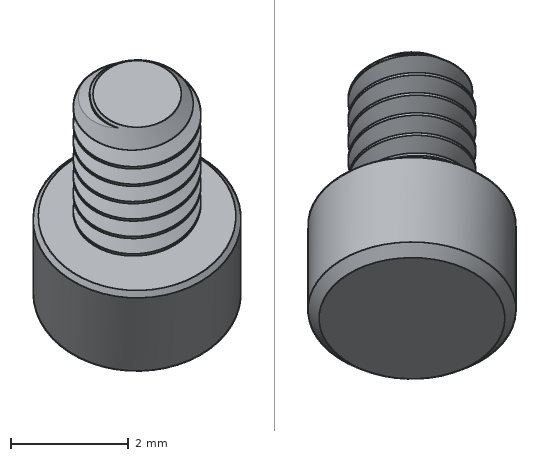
import cadquery as cq
import math

INCH = 25.4

major_diameter = 0.086 * INCH
pitch = INCH / 56
shank_length = INCH / 8
head_diameter = 0.140 * INCH
head_height = major_diameter

bearing_chamfer = 0.09
outer_chamfer = 0.19

half_flank_angle = math.radians(30)
major_radius = major_diameter / 2
root_radius = 0.80
crest_flat = pitch / 8
crest_height = 0.307

tip_radius = 0.755
tip_chamfer = major_radius - tip_radius

radial_overlap = 0.05
runout = 2 * pitch


def make_head():
    head = cq.Workplane("XY").circle(head_diameter / 2).extrude(-head_height)
    head = head.faces(">Z").chamfer(bearing_chamfer)
    return head.faces("<Z").chamfer(outer_chamfer)


def make_shank_blank():
    blank = cq.Workplane("XY").circle(major_radius).extrude(shank_length)
    return blank.faces(">Z").chamfer(tip_chamfer)


def make_thread_groove():
    """Right-hand helical groove running past both ends of the shank."""
    flank_slope = math.tan(half_flank_angle)
    mouth_radius = major_radius + radial_overlap
    mouth_half_width = (pitch - crest_flat) / 2 + radial_overlap * flank_slope
    root_half_width = mouth_half_width - (mouth_radius - root_radius) * flank_slope

    start_height = crest_height + pitch / 2 - runout
    helix_length = math.ceil((shank_length + 2 * runout) / pitch) * pitch
    helix = cq.Wire.makeHelix(pitch, helix_length, root_radius)
    profile = (
        cq.Workplane("XZ")
        .moveTo(root_radius, -root_half_width)
        .lineTo(mouth_radius, -mouth_half_width)
        .lineTo(mouth_radius, mouth_half_width)
        .lineTo(root_radius, root_half_width)
        .close()
    )
    groove = profile.sweep(cq.Workplane(obj=helix), isFrenet=True)
    return groove.translate((0, 0, start_height))


shank = make_shank_blank().cut(make_thread_groove())
result = make_head().union(shank)